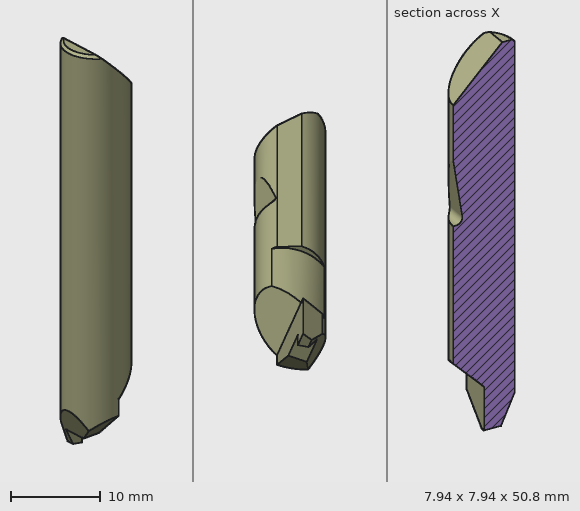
import cadquery as cq
import math

diameter = 7.94
radius = diameter / 2
length = 50.8
clear = 2 * diameter

rim_chamfer = 0.35
butt_slant_angle = 45
butt_slant_low_z = 44.5

flat_front_y = 0.15
flat_back_y = 2.7

notch_bottom_z = 29.2
notch_depth = 1.3
notch_slope = 9
notch_corner_radius = 0.8

pocket_bottom_z = 7.8
pocket_top_z = 19.12
pocket_crown_x = -3.36
pocket_radius = 5.8

rake_top_z = 7.8
rake_runout_angle = 45
nose_slant_angle = 25
nose_slant_top_z = 6.05
flank_front_y = -2.7
tip_floor_z = 2.27
tip_inner_x = -2.4
tip_side_relief = 5
tip_end_relief = 7
shoulder_angle = 45
shoulder_start_x = 0.5


def tan(angle):
    return math.tan(math.radians(angle))


def prism_along_x(outline):
    """Cutter across the whole part from a closed (Y, Z) outline."""
    return outline.close().extrude(clear, both=True)


def make_shank():
    shank = cq.Workplane("XY").circle(radius).extrude(length)
    return shank.faces(">Z").chamfer(rim_chamfer)


def butt_slant():
    rise = clear * tan(butt_slant_angle)
    outline = (
        cq.Workplane("YZ")
        .moveTo(radius, butt_slant_low_z)
        .lineTo(radius - clear, butt_slant_low_z + rise)
        .lineTo(radius, butt_slant_low_z + rise)
    )
    return prism_along_x(outline)


def circle_x(y):
    """X of the -X half of the shank circle at the given Y."""
    return -math.sqrt(radius**2 - y**2)


def side_segment(near_y, far_y, height):
    """Material outside the chord that joins two points of the -X half circle."""
    return (
        cq.Workplane("XY")
        .moveTo(circle_x(near_y), near_y)
        .lineTo(circle_x(far_y), far_y)
        .lineTo(-radius, far_y)
        .lineTo(-radius, near_y)
        .close()
        .extrude(height)
    )


def side_flat():
    return side_segment(flat_front_y, flat_back_y, length)


def clamping_notch():
    """Notch with a level lower face, a rounded root and a long sloping floor."""
    root_y = radius - notch_depth
    slope_rise = (clear - root_y) / tan(notch_slope)
    profile = cq.Workplane("YZ").moveTo(root_y, notch_bottom_z)
    profile = profile.lineTo(clear, notch_bottom_z)
    profile = profile.lineTo(clear, notch_bottom_z + slope_rise)
    cutter = prism_along_x(profile)
    root_edge = cq.selectors.NearestToPointSelector((0, root_y, notch_bottom_z))
    return cutter.edges(root_edge).fillet(notch_corner_radius)


def side_pocket():
    height = pocket_top_z - pocket_bottom_z
    crown_center_x = pocket_crown_x + pocket_radius
    base = cq.Workplane("XY").workplane(offset=pocket_bottom_z)
    block = base.center(crown_center_x - clear / 2, 0).rect(clear, diameter).extrude(height)
    crown = base.center(crown_center_x, 0).circle(pocket_radius).extrude(height)
    return block.cut(crown)


def rake_cut():
    outline = (
        cq.Workplane("YZ")
        .moveTo(0, 0)
        .lineTo(0, rake_top_z)
        .lineTo(radius, rake_top_z + radius * tan(rake_runout_angle))
        .lineTo(radius, 0)
    )
    return prism_along_x(outline)


def nose_slant():
    outline = (
        cq.Workplane("YZ")
        .moveTo(-radius, nose_slant_top_z)
        .lineTo(-radius + nose_slant_top_z * tan(nose_slant_angle), 0)
        .lineTo(-radius, 0)
    )
    return prism_along_x(outline)


def flank_relief_cut():
    """Flat relief behind the outer cutting edge, below the pocket."""
    return side_segment(0, flank_front_y, pocket_bottom_z)


def tip_clearance():
    """Removes the material beside the tip and along the slanted shoulder."""
    shoulder_top_z = tip_floor_z + (radius - shoulder_start_x) * tan(shoulder_angle)
    shoulder = (
        cq.Workplane("XZ")
        .moveTo(shoulder_start_x, 0)
        .lineTo(shoulder_start_x, tip_floor_z)
        .lineTo(radius, shoulder_top_z)
        .lineTo(radius, 0)
        .close()
        .extrude(clear, both=True)
    )
    beside_tip = (
        cq.Workplane("XY")
        .moveTo(tip_inner_x, 0)
        .lineTo(shoulder_start_x, 0)
        .lineTo(shoulder_start_x, -radius)
        .lineTo(tip_inner_x - radius * tan(tip_side_relief), -radius)
        .close()
        .extrude(tip_floor_z)
    )
    return shoulder.union(beside_tip)


def tip_end_cut():
    outline = (
        cq.Workplane("YZ")
        .moveTo(0, 0)
        .lineTo(-radius, radius * tan(tip_end_relief))
        .lineTo(-radius, 0)
    )
    return prism_along_x(outline)


result = make_shank()
for cutter in (
    butt_slant(),
    side_flat(),
    clamping_notch(),
    side_pocket(),
    rake_cut(),
    nose_slant(),
    flank_relief_cut(),
    tip_clearance(),
    tip_end_cut(),
):
    result = result.cut(cutter)